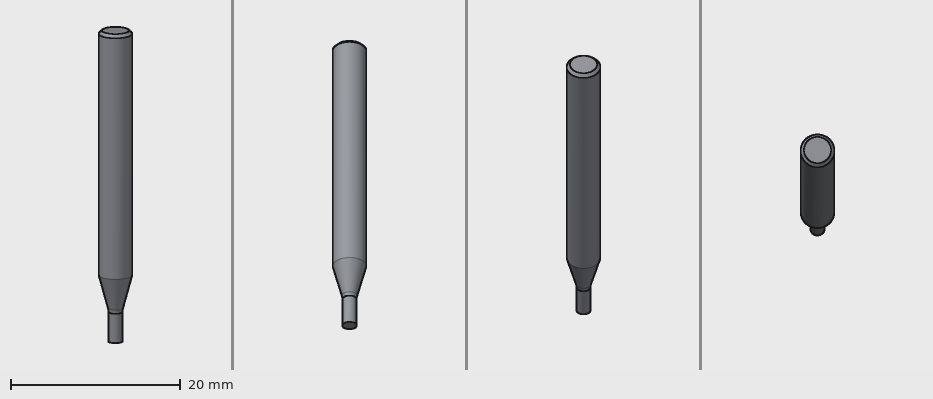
import cadquery as cq
import math


overall_length = 38.0
shank_diameter = 4.0
shank_chamfer = 0.4

head_diameter = 1.7
head_length = 3.6

taper_half_angle = math.radians(15.0)
blend_radius = 2.0

shank_radius = shank_diameter / 2
head_radius = head_diameter / 2


def blend_point(angle):
    """Point (radius, height) on the blend arc where its slope is `angle` from the axis."""
    radius = head_radius + blend_radius * (1 - math.cos(angle))
    height = head_length + blend_radius * math.sin(angle)
    return radius, height


blend_middle = blend_point(taper_half_angle / 2)
blend_end = blend_point(taper_half_angle)
blend_end_radius, blend_end_height = blend_end
taper_length = (shank_radius - blend_end_radius) / math.tan(taper_half_angle)
shank_start = blend_end_height + taper_length


def make_cutting_head():
    """Plain cylinder from the tip up to the start of the blend."""
    return cq.Workplane("XY").circle(head_radius).extrude(head_length)


def make_shank():
    """Shank with a chamfered top, a long taper and a blend arc, turned about Z."""
    profile = (
        cq.Workplane("XZ")
        .moveTo(0, head_length)
        .lineTo(head_radius, head_length)
        .threePointArc(blend_middle, blend_end)
        .lineTo(shank_radius, shank_start)
        .lineTo(shank_radius, overall_length - shank_chamfer)
        .lineTo(shank_radius - shank_chamfer, overall_length)
        .lineTo(0, overall_length)
        .close()
    )
    return profile.revolve(360, (0, 0, 0), (0, 1, 0))


cutting_head = make_cutting_head()
shank = make_shank()

result = cq.Compound.makeCompound([cutting_head.val(), shank.val()])